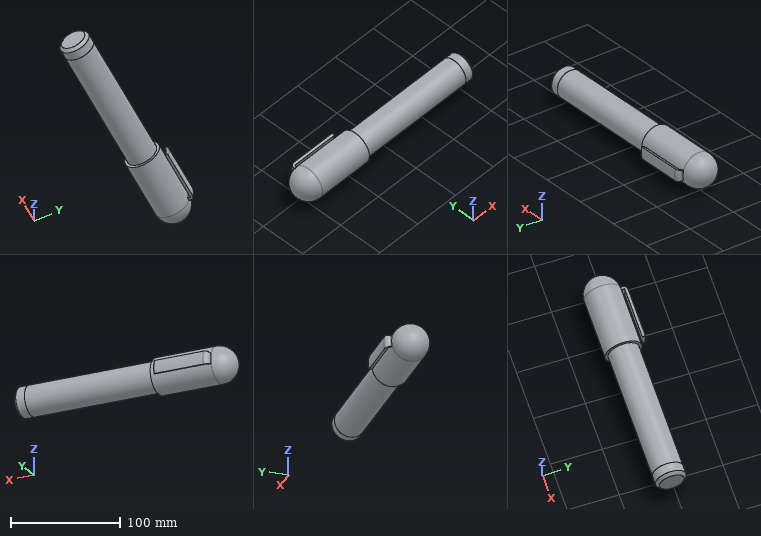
import cadquery as cq
import math

total_length = 223.0
cap_diameter = 36.0
cap_length = 80.3
barrel_diameter = 30.0
plug_length = 12.0
plug_end_diameter = 24.0
overall_width = 42.0
clip_thickness = 3.1
clip_length = 56.2
clip_angle = 31.0
clip_bend_radius = 5.0
clip_tip_fillet = 1.3

cap_radius = cap_diameter / 2
plug_chamfer = (barrel_diameter - plug_end_diameter) / 2
plug_start = total_length - plug_length
clip_start = cap_radius
clip_end = clip_start + clip_length
clip_outer_radius = overall_width - cap_radius
clip_inner_radius = clip_outer_radius - clip_thickness


def rod(diameter, start, end):
    """Solid cylinder along X between two stations."""
    return cq.Workplane("YZ", origin=(start, 0, 0)).circle(diameter / 2).extrude(end - start)


def make_shell():
    """Sleeve closed by a hemispherical dome, revolved about the pen axis."""
    diagonal = cap_radius * math.sqrt(0.5)
    return (
        cq.Workplane("XY")
        .threePointArc((cap_radius - diagonal, diagonal), (cap_radius, cap_radius))
        .lineTo(cap_length, cap_radius)
        .lineTo(cap_length, 0)
        .close()
        .revolve(360, (0, 0, 0), (1, 0, 0))
    )


def make_clip():
    """L-shaped clip profile swept around the pen axis, centred on the +Y side."""
    bend_offset = clip_bend_radius * (1 - math.sqrt(0.5))
    tip_offset = clip_tip_fillet * (1 - math.sqrt(0.5))
    profile = (
        cq.Workplane("XY")
        .moveTo(clip_start, cap_radius)
        .lineTo(clip_start, clip_outer_radius - clip_bend_radius)
        .threePointArc(
            (clip_start + bend_offset, clip_outer_radius - bend_offset),
            (clip_start + clip_bend_radius, clip_outer_radius),
        )
        .lineTo(clip_end - clip_tip_fillet, clip_outer_radius)
        .threePointArc(
            (clip_end - tip_offset, clip_outer_radius - tip_offset),
            (clip_end, clip_outer_radius - clip_tip_fillet),
        )
        .lineTo(clip_end, clip_inner_radius + clip_tip_fillet)
        .threePointArc(
            (clip_end - tip_offset, clip_inner_radius + tip_offset),
            (clip_end - clip_tip_fillet, clip_inner_radius),
        )
        .lineTo(clip_start + clip_thickness, clip_inner_radius)
        .lineTo(clip_start + clip_thickness, cap_radius)
        .close()
    )
    clip = profile.revolve(clip_angle, (0, 0, 0), (1, 0, 0))
    return clip.rotate((0, 0, 0), (1, 0, 0), -clip_angle / 2)


def make_cap():
    """Domed sleeve with its integral pocket clip."""
    return make_shell().union(make_clip())


def make_barrel():
    """Plain barrel between the cap and the end plug."""
    return rod(barrel_diameter, cap_length, plug_start)


def make_plug():
    """End plug with a chamfered outer rim."""
    return rod(barrel_diameter, plug_start, total_length).faces(">X").chamfer(plug_chamfer)


cap = make_cap()
barrel = make_barrel()
plug = make_plug()

result = cq.Compound.makeCompound([cap.val(), barrel.val(), plug.val()])